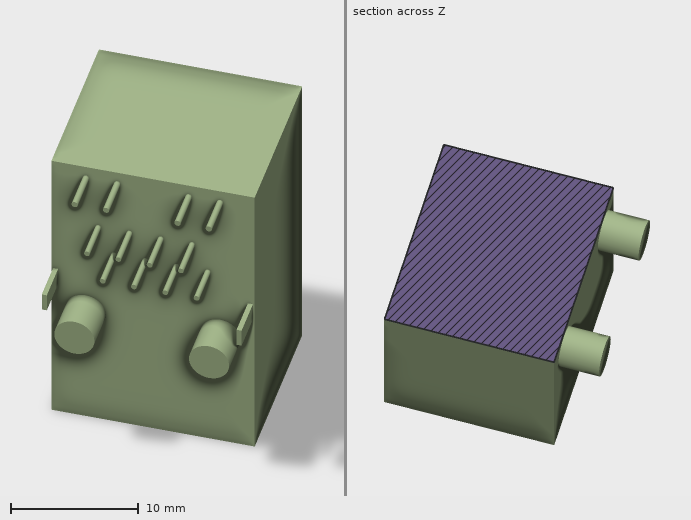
import cadquery as cq

body_width = 16.5
body_depth = 13.85
body_height = 25.65

pin_length = 3.3

peg_diameter = 3.25
peg_spacing = 10.93
peg_z = 10.8

pin_pitch = 2.55
row_stagger = pin_pitch / 2
signal_diameter = 0.45
row_pin_count = 4
lower_row_z = 17.13
upper_row_z = lower_row_z + pin_pitch

indicator_diameter = 0.51
indicator_outer_x = 5.45
indicator_inner_x = indicator_outer_x - pin_pitch
indicator_z = 24.52

tab_thickness = 0.4
tab_height = 1.55
tab_spacing = 15.8
tab_z = 13.88


def round_posts(points, diameter):
    """Round posts standing out of the front face at (x, z) points."""
    return cq.Workplane("XZ").pushPoints(points).circle(diameter / 2).extrude(pin_length)


def signal_row(center_x, z):
    """One row of evenly pitched signal pins."""
    first_x = center_x - pin_pitch * (row_pin_count - 1) / 2
    points = [(first_x + i * pin_pitch, z) for i in range(row_pin_count)]
    return round_posts(points, signal_diameter)


body = cq.Workplane("XY").box(body_width, body_depth, body_height, centered=(True, False, False))

pegs = round_posts([(side * peg_spacing / 2, peg_z) for side in (-1, 1)], peg_diameter)

indicator_pins = round_posts(
    [(side * x, indicator_z) for side in (-1, 1) for x in (indicator_inner_x, indicator_outer_x)],
    indicator_diameter,
)

tabs = (
    cq.Workplane("XZ")
    .pushPoints([(side * tab_spacing / 2, tab_z) for side in (-1, 1)])
    .rect(tab_thickness, tab_height)
    .extrude(pin_length)
)

upper_row = signal_row(-row_stagger / 2, upper_row_z)
lower_row = signal_row(row_stagger / 2, lower_row_z)

result = body.union(pegs).union(indicator_pins).union(tabs).union(upper_row).union(lower_row)